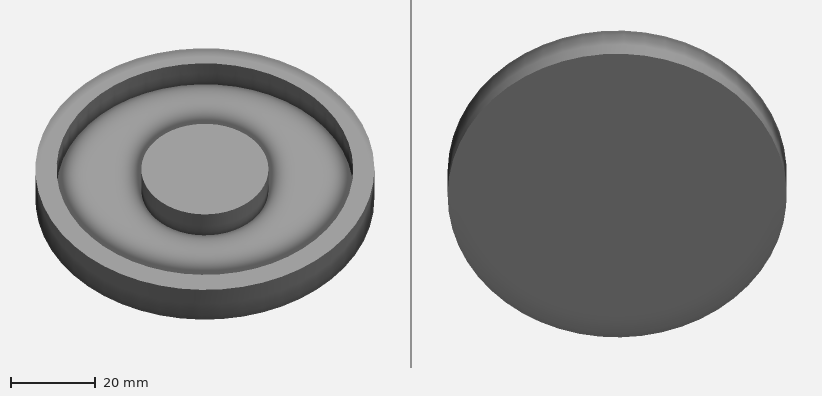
import cadquery as cq

outer_diameter = 80.0
height = 10.0
recess_diameter = 70.0
recess_depth = 7.0
boss_diameter = 30.0

floor_thickness = height - recess_depth

disc = cq.Workplane("XY").circle(outer_diameter / 2).extrude(height)

recess = (
    cq.Workplane("XY", origin=(0, 0, floor_thickness))
    .circle(recess_diameter / 2)
    .circle(boss_diameter / 2)
    .extrude(recess_depth)
)

result = disc.cut(recess)